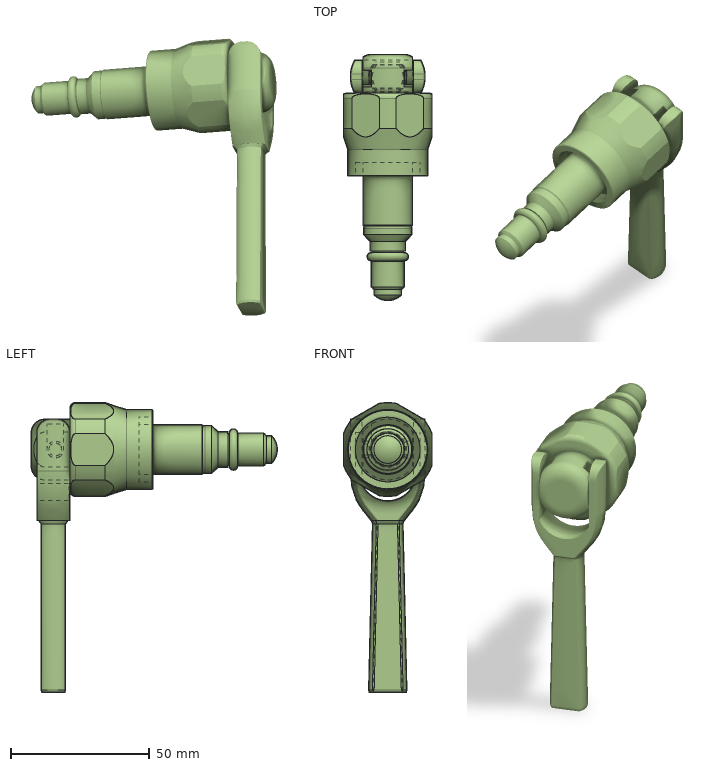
import cadquery as cq
import math


NUT_FLATS = 32.0
HEX_SIDES = 6
HEX_HALF_ANGLE = math.pi / HEX_SIDES
NUT_RADIUS = 17.0
NUT_BACK_ROUND = 2.0
NUT_CONE_START = -12.75
SKIRT_START = -20.4
SKIRT_END = -30.0
SKIRT_RADIUS = 14.5
SKIRT_CHAMFER = 0.3
BORE_RADIUS = 11.7
BORE_DEPTH = 5.0

SHAFT_END = -47.7
SHAFT_RADIUS = 9.0
SHAFT_EDGE = 0.3
COLLAR_END = -51.1
COLLAR_RADIUS = 8.75
COLLAR_LIP_RADIUS = 8.65
COLLAR_LIP_END = -48.9
NECK_START = -53.6
NECK_END = -57.1
NECK_RADIUS = 6.45
SEAT_RADIUS = 5.75
SEAT_END = -60.8
NOSE_RADIUS = 6.0
NOSE_END = -70.0
TIP_RADIUS = 5.0
TIP_START = -71.0
DOME_START = -72.9
TIP_END = -75.0
RING_Y = -59.1
RING_CENTRE_RADIUS = 6.0
RING_WIRE_RADIUS = 1.5

HUB_RADIUS = 11.0
OVERALL_LENGTH = 89.06
HUB_END = OVERALL_LENGTH + TIP_END
HUB_ROUND = 5.0
HUB_FLATS = 18.0
SLOT_WIDTH = 6.05
SLOT_FLOOR_X = 5.85
PIVOT_Y = 5.3
PIN_DIAMETER = 6.0
PIN_FLAT_Y = 3.1
PIN_END_X = 6.0
PIN_CHAMFER = 0.7
PIN_ROOT = 1.0

LEVER_THICK = 12.0
LEVER_Y = LEVER_THICK / 2
LEVER_TOP = 11.1
FORK_TOP_ROUND = 5.0
FORK_HALF_WIDTH = 13.55
FORK_HALF_GAP = 9.4
FORK_SAG = 1.6
FORK_BEND_Z = -7.73
FORK_BEND_MID = (11.4, -18.2)
FORK_END_HALF_WIDTH = 5.1
FORK_END_DIRECTION = (-0.62, -0.78)
FORK_EDGE_ROUND = 0.4
FORK_OPENING_BOTTOM = -18.5
FORK_OPENING_RADIUS = 10.2
HEAD_SHOULDER_Z = -25.7
HANDLE_TOP = -26.85
HANDLE_BOTTOM = -87.8
HANDLE_THICK = 8.9
FLARE_THICK = 10.6
FLARE_HALF_WIDTH = 5.9
HANDLE_TOP_HALF_WIDTH = 5.55
HANDLE_BOTTOM_HALF_WIDTH = 6.95
HANDLE_SAG = 1.65
HANDLE_END_HEIGHT = 0.9
HANDLE_END_INSET = 0.25
HANDLE_EDGE_CHAMFER = 0.4


def revolve_about_y(outline):
    return outline.close().revolve(360, (0, 0, 0), (0, 1, 0))


def make_nut():
    """Hexagon with a rounded back edge, a cone and a cylindrical skirt."""
    round_mid = NUT_BACK_ROUND * math.sqrt(0.5)
    round_r = NUT_RADIUS - NUT_BACK_ROUND
    turned = revolve_about_y(
        cq.Workplane("XY")
        .moveTo(0, 0)
        .lineTo(round_r, 0)
        .threePointArc((round_r + round_mid, round_mid - NUT_BACK_ROUND), (NUT_RADIUS, -NUT_BACK_ROUND))
        .lineTo(NUT_RADIUS, NUT_CONE_START)
        .lineTo(SKIRT_RADIUS, SKIRT_START)
        .lineTo(SKIRT_RADIUS, SKIRT_END + SKIRT_CHAMFER)
        .lineTo(SKIRT_RADIUS - SKIRT_CHAMFER, SKIRT_END)
        .lineTo(0, SKIRT_END)
    )
    corner_diameter = NUT_FLATS / math.cos(HEX_HALF_ANGLE)
    hexagon = (
        cq.Workplane("XZ")
        .transformed(rotate=(0, 0, math.degrees(HEX_HALF_ANGLE)))
        .polygon(HEX_SIDES, corner_diameter)
        .extrude(-SKIRT_END)
    )
    bore = cq.Workplane("XZ", origin=(0, SKIRT_END, 0)).circle(BORE_RADIUS).extrude(-BORE_DEPTH)
    return turned.intersect(hexagon).cut(bore)


def make_stem():
    """Stepped stem with a domed tip and a sealing ring."""
    dome_rise = DOME_START - TIP_END
    dome_radius = (TIP_RADIUS**2 + dome_rise**2) / (2 * dome_rise)
    half_angle = math.asin(TIP_RADIUS / dome_radius) / 2
    dome_mid = (
        dome_radius * math.sin(half_angle),
        TIP_END + dome_radius * (1 - math.cos(half_angle)),
    )
    turned = revolve_about_y(
        cq.Workplane("XY")
        .moveTo(0, SKIRT_END + BORE_DEPTH)
        .lineTo(SHAFT_RADIUS, SKIRT_END + BORE_DEPTH)
        .lineTo(SHAFT_RADIUS, SHAFT_END)
        .lineTo(COLLAR_LIP_RADIUS, SHAFT_END - SHAFT_EDGE)
        .lineTo(COLLAR_RADIUS, COLLAR_LIP_END)
        .lineTo(COLLAR_RADIUS, COLLAR_END)
        .lineTo(NECK_RADIUS, NECK_START)
        .lineTo(NECK_RADIUS, NECK_END)
        .lineTo(SEAT_RADIUS, NECK_END)
        .lineTo(SEAT_RADIUS, SEAT_END)
        .lineTo(NOSE_RADIUS, SEAT_END)
        .lineTo(NOSE_RADIUS, NOSE_END)
        .lineTo(TIP_RADIUS, TIP_START)
        .lineTo(TIP_RADIUS, DOME_START)
        .threePointArc(dome_mid, (0, TIP_END))
    )
    ring = (
        cq.Workplane("XY", origin=(RING_CENTRE_RADIUS, RING_Y, 0))
        .transformed(rotate=(0, 0, 180))
        .circle(RING_WIRE_RADIUS)
        .revolve(360, (RING_CENTRE_RADIUS, 0, 0), (RING_CENTRE_RADIUS, 1, 0))
    )
    return turned.union(ring)


def make_hub():
    """Rounded hub with side flats and pin slots that open upward."""
    hub = (
        cq.Workplane("XZ")
        .circle(HUB_RADIUS)
        .extrude(-HUB_END)
        .faces(">Y")
        .edges()
        .fillet(HUB_ROUND)
    )
    flats = cq.Workplane("XY").box(HUB_FLATS, 2 * HUB_END, 2 * HUB_RADIUS)
    hub = hub.intersect(flats)
    for side in (1, -1):
        slot = (
            cq.Workplane("YZ", origin=(side * SLOT_FLOOR_X, 0, 0))
            .moveTo(PIVOT_Y - SLOT_WIDTH / 2, HUB_RADIUS)
            .lineTo(PIVOT_Y - SLOT_WIDTH / 2, 0)
            .threePointArc((PIVOT_Y, -SLOT_WIDTH / 2), (PIVOT_Y + SLOT_WIDTH / 2, 0))
            .lineTo(PIVOT_Y + SLOT_WIDTH / 2, HUB_RADIUS)
            .close()
            .extrude(side * HUB_FLATS)
        )
        hub = hub.cut(slot)
    return hub


def make_fork_side():
    """One side of the fork: a bulged bar that runs down, bends inward and ends at the neck."""
    path = (
        cq.Workplane("XZ", origin=(0, LEVER_Y, 0))
        .moveTo(FORK_HALF_WIDTH, LEVER_TOP)
        .lineTo(FORK_HALF_WIDTH, FORK_BEND_Z)
        .spline(
            [FORK_BEND_MID, (FORK_END_HALF_WIDTH, HANDLE_TOP)],
            tangents=[(0, -1), FORK_END_DIRECTION],
            includeCurrent=True,
        )
    )
    bar = (
        cq.Workplane("XY", origin=(0, 0, LEVER_TOP))
        .moveTo(FORK_HALF_GAP, 0)
        .lineTo(FORK_HALF_WIDTH - FORK_SAG, 0)
        .threePointArc((FORK_HALF_WIDTH, LEVER_Y), (FORK_HALF_WIDTH - FORK_SAG, LEVER_THICK))
        .lineTo(FORK_HALF_GAP, LEVER_THICK)
        .close()
        .sweep(path)
    )
    inset = (FORK_HALF_WIDTH - FORK_HALF_GAP) / 2
    web = (
        cq.Workplane("XZ")
        .moveTo(0, FORK_BEND_Z)
        .lineTo(FORK_HALF_WIDTH - inset, FORK_BEND_Z)
        .lineTo(FORK_BEND_MID[0] - inset, FORK_BEND_MID[1])
        .lineTo(FORK_END_HALF_WIDTH - inset, HANDLE_TOP)
        .lineTo(0, HANDLE_TOP)
        .close()
        .extrude(-LEVER_THICK)
    )
    return bar.union(web)


def make_fork():
    """Both fork sides, the opening between them, the rounded tops and the flat shoulder."""
    side = make_fork_side()
    fork = side.union(side.mirror("YZ"))

    opening_centre = FORK_OPENING_BOTTOM + FORK_OPENING_RADIUS
    opening = (
        cq.Workplane("XZ")
        .center(0, opening_centre)
        .circle(FORK_OPENING_RADIUS)
        .extrude(-LEVER_THICK)
    )
    gap_height = LEVER_TOP - opening_centre
    gap = (
        cq.Workplane("XY")
        .box(2 * FORK_HALF_GAP, LEVER_THICK, gap_height, centered=(True, False, False))
        .translate((0, 0, opening_centre))
    )
    between_arms = (
        cq.Workplane("XY")
        .box(2 * FORK_HALF_GAP, LEVER_THICK, 2 * FORK_OPENING_RADIUS)
        .translate((0, LEVER_Y, opening_centre))
    )
    fork = fork.cut(opening.intersect(between_arms)).cut(gap)

    head_height = LEVER_TOP - HEAD_SHOULDER_Z
    head_block = (
        cq.Workplane("XY", origin=(0, 0, HEAD_SHOULDER_Z))
        .box(2 * FORK_HALF_WIDTH, LEVER_THICK, head_height, centered=(True, False, False))
        .edges("|X and >Z")
        .fillet(FORK_TOP_ROUND)
    )
    fork = fork.intersect(head_block)
    lower_edges = cq.selectors.BoxSelector(
        (-FORK_HALF_WIDTH, -LEVER_Y, HEAD_SHOULDER_Z + FORK_EDGE_ROUND),
        (FORK_HALF_WIDTH, LEVER_Y, FORK_BEND_Z),
    )
    return fork.faces("<Y").edges(lower_edges).fillet(FORK_EDGE_ROUND)


def make_handle():
    """Flared neck and a handle with bulged sides that widens toward its lower end."""

    def section(z, half_width, thick):
        front = LEVER_Y - thick / 2
        back = LEVER_Y + thick / 2
        flat = half_width - HANDLE_SAG
        return (
            cq.Workplane("XY", origin=(0, 0, z))
            .moveTo(-flat, front)
            .lineTo(flat, front)
            .threePointArc((half_width, LEVER_Y), (flat, back))
            .lineTo(-flat, back)
            .threePointArc((-half_width, LEVER_Y), (-flat, front))
            .close()
            .wire()
            .val()
        )

    flare_top = section(HEAD_SHOULDER_Z, FLARE_HALF_WIDTH, FLARE_THICK)
    top = section(HANDLE_TOP, HANDLE_TOP_HALF_WIDTH, HANDLE_THICK)
    end_start = section(HANDLE_BOTTOM + HANDLE_END_HEIGHT, HANDLE_BOTTOM_HALF_WIDTH, HANDLE_THICK)
    end = section(
        HANDLE_BOTTOM,
        HANDLE_BOTTOM_HALF_WIDTH - HANDLE_END_INSET,
        HANDLE_THICK - 2 * HANDLE_END_INSET,
    )

    def tapered_body(upper, lower):
        return cq.Workplane(cq.Solid.makeLoft([upper, lower], True))

    grip = tapered_body(top, end_start)
    grip = grip.faces("<Y").edges("not #Z").edges("not |X").chamfer(HANDLE_EDGE_CHAMFER)
    return grip.union(tapered_body(flare_top, top)).union(tapered_body(end_start, end))


def make_pin(side):
    """Pivot pin on the inside of one fork arm, with a flat on its front."""
    length = FORK_HALF_GAP + PIN_ROOT - PIN_END_X
    pin = (
        cq.Workplane("YZ", origin=(PIN_END_X, PIVOT_Y, 0))
        .circle(PIN_DIAMETER / 2)
        .extrude(length)
        .faces("<X")
        .chamfer(PIN_CHAMFER)
    )
    behind_flat = cq.Workplane("XY", origin=(PIN_END_X, PIN_FLAT_Y, 0)).box(
        length, PIN_DIAMETER, PIN_DIAMETER, centered=(False, False, True)
    )
    pin = pin.intersect(behind_flat)
    return pin if side > 0 else pin.mirror("YZ")


result = make_nut().union(make_stem()).union(make_hub())
result = result.union(make_fork()).union(make_handle())
for pin_side in (1, -1):
    result = result.union(make_pin(pin_side))